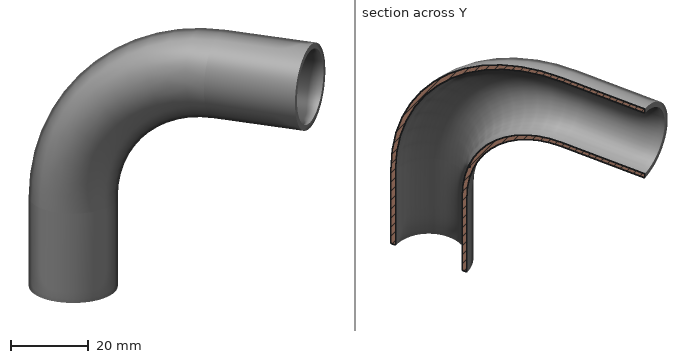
import cadquery as cq
import math

overall_size = 76.5
outer_diameter = 23.0
bore_diameter = 20.0
bend_radius = 40.0

leg_length = overall_size - bend_radius - outer_diameter / 2

bend_start = (0, leg_length)
bend_middle = (
    bend_radius * (1 - math.cos(math.pi / 4)),
    leg_length + bend_radius * math.sin(math.pi / 4),
)
bend_end = (bend_radius, leg_length + bend_radius)
outlet = (bend_radius + leg_length, leg_length + bend_radius)

centreline = (
    cq.Workplane("XZ")
    .moveTo(0, 0)
    .lineTo(*bend_start)
    .threePointArc(bend_middle, bend_end)
    .lineTo(*outlet)
)

result = (
    cq.Workplane("XY")
    .circle(outer_diameter / 2)
    .circle(bore_diameter / 2)
    .sweep(centreline)
)